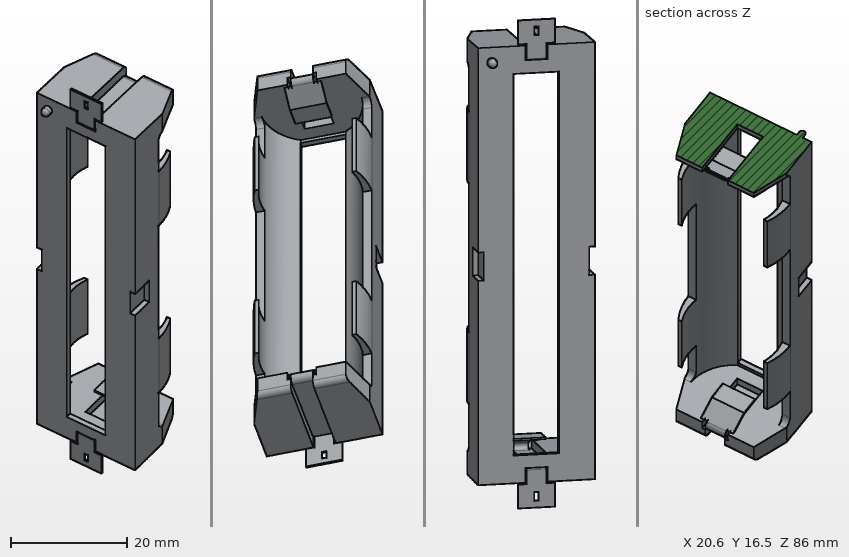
import cadquery as cq
import math


body_width = 20.6
body_depth = 14.9
base_length = 77.05
end_draft = 0.3
side_height = 8.2
top_width = 15.7
end_edge_radius = 1.0
wall_height = 7.05
trough_length = 68.6
wall_end_radius = 1.4

bore_radius = 8.95
bore_center_y = 9.0
floor_thickness = 1.0
window_width = 8.1
window_length = 67.25

clip_top = 12.4
clip_outer_radius = 11.7
clip_length = 12.6
clip_center_z = 19.4

notch_length = 5.0
notch_height = 4.2
notch_depth = 1.0

pin_x = -7.9
pin_z = 35.9
pin_diameter = 1.6
pin_length = 1.55

sheet = 0.35
groove_width = 3.95
groove_floor_z = 35.95
slot_width = 5.2
slot_start_y = 3.5
tab_width = 6.5
tab_bottom_z = 38.8
tab_top_z = 43.0
neck_width = 3.4
neck_bend_radius = 0.3
tab_hole_width = 0.8
tab_hole_height = 1.55
tab_hole_z = 41.0
bend_radius = 1.0
spring_angle = math.radians(29)
spring_face_z = 32.3
spring_tip_y = 7.1


def box(x_size, y_min, y_max, z_min, z_max):
    """Box centred on X between the given Y and Z limits."""
    size_y = y_max - y_min
    size_z = z_max - z_min
    block = cq.Workplane("XY").box(x_size, size_y, size_z, centered=(True, False, False))
    return block.translate((0, y_min, z_min))


def both_ends(shape):
    """The shape together with its mirror image at the -Z end."""
    return shape.union(shape.mirror("XY"))


def extrude_along_z(outline, length):
    """Extrude an XY outline by a length centred on Z = 0."""
    return outline.extrude(length / 2, both=True)


def make_body():
    half_base = base_length / 2
    half_top = half_base - end_draft
    side_outline = [(0, -half_base), (0, half_base), (body_depth, half_top), (body_depth, -half_top)]
    body = cq.Workplane("YZ").polyline(side_outline).close().extrude(body_width / 2, both=True)
    body = body.edges("|X and >Y").fillet(end_edge_radius)

    half_width = body_width / 2
    end_outline = [
        (-half_width, 0),
        (half_width, 0),
        (half_width, side_height),
        (top_width / 2, body_depth),
        (-top_width / 2, body_depth),
        (-half_width, side_height),
    ]
    body = body.intersect(extrude_along_z(cq.Workplane("XY").polyline(end_outline).close(), base_length))

    opening = box(body_width, wall_height, body_depth, -trough_length / 2, trough_length / 2)
    opening = opening.edges("|X and <Y").fillet(wall_end_radius)
    return body.cut(opening)


def make_clips():
    """Two pairs of arms that rise from the side walls and lean in over the battery."""
    arc_center_x = body_width / 2 - clip_outer_radius

    def reach(y):
        return arc_center_x + math.sqrt(clip_outer_radius**2 - (y - wall_height) ** 2)

    middle_y = (wall_height + clip_top) / 2
    outline = (
        cq.Workplane("XY")
        .moveTo(0, wall_height)
        .lineTo(body_width / 2, wall_height)
        .threePointArc((reach(middle_y), middle_y), (reach(clip_top), clip_top))
        .lineTo(0, clip_top)
        .close()
    )
    clip = extrude_along_z(outline, clip_length).translate((0, 0, clip_center_z))
    return both_ends(clip.union(clip.mirror("YZ")))


def make_trough():
    """Battery space: a cylinder that stops at the flat floor."""
    bore_outline = cq.Workplane("XY").center(0, bore_center_y).circle(bore_radius)
    bore = extrude_along_z(bore_outline, trough_length)
    half_length = trough_length / 2
    return bore.intersect(box(body_width, floor_thickness, 2 * body_depth, -half_length, half_length))


def make_notches():
    inner_width = body_width - 2 * notch_depth
    across = box(body_width, 0, notch_height, -notch_length / 2, notch_length / 2)
    return across.cut(box(inner_width, 0, notch_height, -notch_length / 2, notch_length / 2))


def make_pin():
    radius = pin_diameter / 2
    straight = pin_length - radius
    pin = cq.Workplane("XZ").center(pin_x, pin_z).circle(radius).extrude(straight)
    return pin.union(cq.Workplane("XY").sphere(radius).translate((pin_x, -straight, pin_z)))


def make_strip(width):
    """Strip along the groove floor, round the end-wall bend and down into the spring."""
    center_y = body_depth - bend_radius
    center_z = groove_floor_z + sheet - bend_radius
    inner_radius = bend_radius - sheet

    def on_bend(radius, angle):
        """Point on the bend; the angle is zero where the strip lies flat and grows toward the spring."""
        return (center_y + radius * math.sin(angle), center_z + radius * math.cos(angle))

    bend_end = math.pi - spring_angle

    def spring_corner(radius, face_z):
        """Where the sloping face leaving the bend meets the flat face at face_z."""
        start_y, start_z = on_bend(radius, bend_end)
        return (start_y - (start_z - face_z) / math.tan(spring_angle), face_z)

    back_face_z = spring_face_z + sheet
    outline = (
        cq.Workplane("YZ")
        .moveTo(sheet, groove_floor_z + sheet)
        .lineTo(*on_bend(bend_radius, 0))
        .threePointArc(on_bend(bend_radius, bend_end / 2), on_bend(bend_radius, bend_end))
        .lineTo(*spring_corner(bend_radius, spring_face_z))
        .lineTo(spring_tip_y, spring_face_z)
        .lineTo(spring_tip_y, back_face_z)
        .lineTo(*spring_corner(inner_radius, back_face_z))
        .lineTo(*on_bend(inner_radius, bend_end))
        .threePointArc(on_bend(inner_radius, bend_end / 2), on_bend(inner_radius, 0))
        .lineTo(sheet, groove_floor_z)
        .close()
    )
    return outline.extrude(width / 2, both=True)


def make_contact():
    """Solder tab, neck and strip; the strip widens into the spring inside the trough."""
    tab = box(tab_width, 0, sheet, tab_bottom_z, tab_top_z)
    half_hole = tab_hole_height / 2
    tab = tab.cut(box(tab_hole_width, 0, sheet, tab_hole_z - half_hole, tab_hole_z + half_hole))
    neck = box(neck_width, 0, sheet, groove_floor_z, tab_bottom_z)
    neck = neck.edges("<Y and <Z").fillet(neck_bend_radius)
    inside_trough = box(tab_width, 0, body_depth, 0, trough_length / 2)
    spring = make_strip(tab_width).intersect(inside_trough)
    return tab.union(neck).union(make_strip(groove_width)).union(spring)


def make_contact_seat():
    """Groove in the end face and the slot that lets the strip through the end wall."""
    groove = box(groove_width, 0, body_depth, groove_floor_z, tab_bottom_z)
    slot = box(slot_width, slot_start_y, body_depth, trough_length / 2, groove_floor_z)
    return groove.union(slot)


def make_window():
    """Opening through the floor."""
    return box(window_width, 0, floor_thickness, -window_length / 2, window_length / 2)


result = (
    make_body()
    .union(make_clips())
    .cut(make_trough())
    .cut(make_window())
    .cut(make_notches())
    .cut(both_ends(make_contact_seat()))
    .union(both_ends(make_contact()))
    .union(make_pin())
)